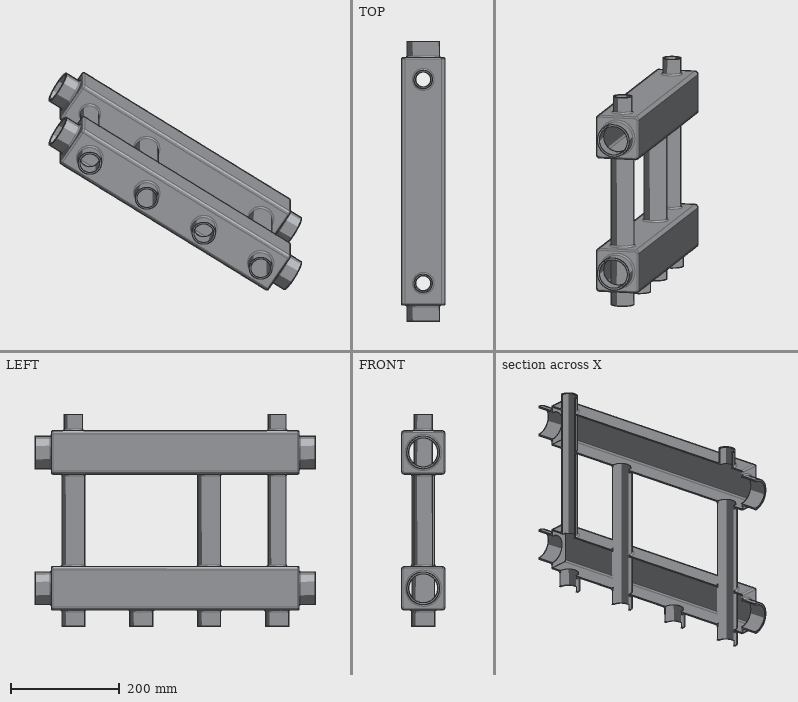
import cadquery as cq
import math

overall_length = 515.0
header_side = 80.5
header_spacing = 250.0
stub_length = 30.0
header_length = overall_length - 2 * stub_length

header_wall = 3.0
long_edge_radius = 6.0
end_edge_radius = 3.0

end_stub = {"outer": 60.0, "bore": 53.0}
large_stub = {"outer": 43.0, "bore": 36.0}
large_riser = {"outer": 42.0, "bore": 36.0}
small_stub = {"outer": 34.0, "bore": 27.5}
small_riser = {"outer": 33.5, "bore": 27.5}
weld_leg = 3.0

upper_z = header_spacing / 2
lower_z = -header_spacing / 2
half_side = header_side / 2
half_length = header_length / 2
top_z = upper_z + half_side + stub_length
bottom_z = lower_z - half_side - stub_length

pipe_pitch = header_spacing / 2
station_count = 4
stations = [(i - (station_count - 1) / 2) * pipe_pitch for i in range(station_count)]
small_riser_y = stations[0]
large_riser_ys = [stations[1], stations[3]]
lower_only_ys = [stations[0], stations[2]]
upper_only_y = stations[3]


def rod(diameter, start, end):
    """Round bar between two points."""
    axis = cq.Vector(*end) - cq.Vector(*start)
    solid = cq.Solid.makeCylinder(diameter / 2, axis.Length, cq.Vector(*start), axis)
    return cq.Workplane(obj=solid)


def weld(pipe, foot, direction):
    """Concave weld bead around a pipe, its wide end on the header face."""
    pipe_radius = pipe["outer"] / 2
    bead_radius = pipe_radius + weld_leg
    sag = weld_leg * (1 - math.sqrt(0.5))
    profile = (
        cq.Workplane("XZ")
        .lineTo(bead_radius, 0)
        .threePointArc((pipe_radius + sag, sag), (pipe_radius, weld_leg))
        .lineTo(0, weld_leg)
        .close()
    )
    bead = profile.revolve(360, (0, 0, 0), (0, 1, 0)).val()
    plane = cq.Plane(foot, xDir=(1, 0, 0), normal=direction)
    return cq.Workplane(obj=bead.moved(cq.Location(plane)))


def header_shell(z):
    """Closed, hollow square tube with rounded edges."""
    outside = cq.Workplane("XY").box(header_side, header_length, header_side)
    outside = outside.edges("|Y").fillet(long_edge_radius)
    outside = outside.faces("<Y or >Y").edges().fillet(end_edge_radius)
    cavity_side = header_side - 2 * header_wall
    cavity = cq.Workplane("XY").box(cavity_side, header_length - 2 * header_wall, cavity_side)
    cavity = cavity.edges("|Y").fillet(long_edge_radius - header_wall)
    return outside.cut(cavity).translate((0, 0, z))


def add_stub(body, pipe, foot, direction):
    """Open pipe stub welded to a header face, its bore passing through the wall."""
    base = cq.Vector(*foot)
    axis = cq.Vector(*direction)
    tip = (base + axis * stub_length).toTuple()
    inside = (base - axis * (2 * header_wall)).toTuple()
    body = body.union(rod(pipe["outer"], foot, tip)).union(weld(pipe, foot, direction))
    return body.cut(rod(pipe["bore"], inside, tip))


def add_riser(body, pipe, y, closed_z, open_z):
    """Pipe seated on one header face, running through the other header to an open end."""
    up = 1 if open_z > closed_z else -1
    seat = (0, y, closed_z)
    tip = (0, y, open_z)
    inside = (0, y, closed_z - up * 2 * header_wall)
    body = body.union(rod(pipe["outer"], seat, tip))
    body = body.union(weld(pipe, seat, (0, 0, up)))
    far_faces = (open_z - up * (stub_length + header_side), open_z - up * stub_length)
    for face_z, side in zip(far_faces, (-up, up)):
        body = body.union(weld(pipe, (0, y, face_z), (0, 0, side)))
    return body.cut(rod(pipe["bore"], inside, tip))


body = header_shell(upper_z).union(header_shell(lower_z))

body = add_riser(body, small_riser, small_riser_y, lower_z + half_side, top_z)
for riser_y in large_riser_ys:
    body = add_riser(body, large_riser, riser_y, upper_z - half_side, bottom_z)

body = add_stub(body, small_stub, (0, upper_only_y, upper_z + half_side), (0, 0, 1))
for stub_y in lower_only_ys:
    body = add_stub(body, large_stub, (0, stub_y, lower_z - half_side), (0, 0, -1))

for z in (upper_z, lower_z):
    for side in (-1, 1):
        body = add_stub(body, end_stub, (0, side * half_length, z), (0, side, 0))

result = body